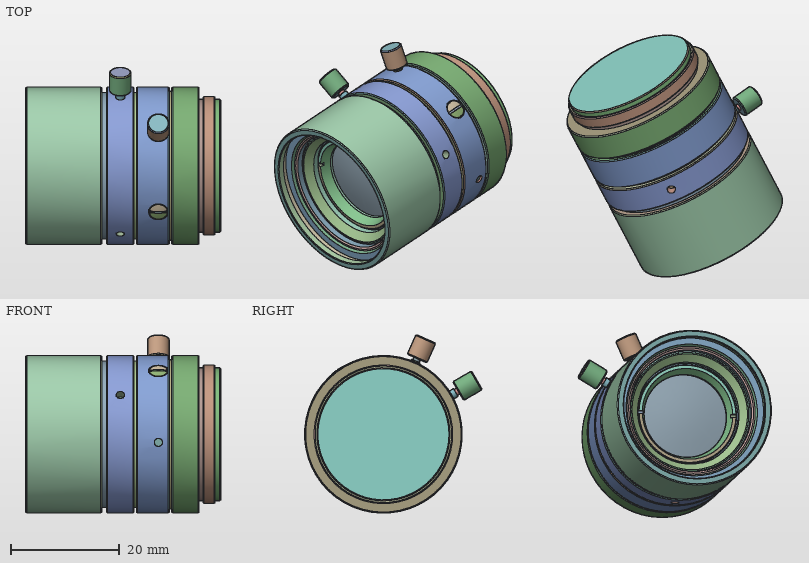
import cadquery as cq
import math


body_dia = 29.0
edge_chamfer = 0.2
barrel_end = 14.0
lock_ring_start = 14.85
lock_ring_end = 19.9
iris_ring_start = 20.35
iris_ring_end = 26.4
rear_ring_start = 26.85
rear_ring_end = 31.9
mount_thread_start = 32.6
mount_thread_end = 34.85
total_length = 35.88
front_core_dia = 27.0
rear_core_dia = 27.5
mount_thread_dia = 25.5
mount_core_dia = 24.5

mouth_dia = 26.8
mouth_chamfer = 0.15
filter_thread_dia = 26.5
filter_thread_end = 1.3
relief_dia = 27.5
relief_end = 2.5
step_mouth_dia = 24.7
step_dia = 24.1
step_end = 3.0
well_mouth_dia = 23.5
well_dia = 22.8
well_chamfer = 0.2
sleeve_dia = 22.5
sleeve_bore_dia = 21.7
sleeve_face = 4.2
cone_end = 5.5
cone_small_dia = 19.1
retainer_dia = 18.5
retainer_mouth_dia = 17.0
retainer_face = 6.2
retainer_chamfer = 0.15
gap_depth = 0.4
retainer_cone_end = 8.1
lens_dia = 15.5
lens_edge = 8.6
lens_bulge = 1.0
spanner_slot_width = 0.6
spanner_slot_depth = 0.7

lock_hardware_x = 17.4
iris_hardware_x = 24.4
lock_screw_angle = 30.0
lock_spacing = 120.0
iris_screw_angle = 66.0
iris_spacing = 60.0
lock_screw_reach = 19.87
iris_screw_reach = 19.23
knob_dia = 4.0
knob_length = 4.0
knob_chamfer = 0.2
neck_dia = 1.3
neck_length = 0.5
stem_dia = 1.7
stem_root = 12.5
pin_hole_dia = 1.5
lock_hole_depth = 2.0
iris_hole_depth = 0.4
slotted_head_dia = 3.3
slotted_head_crown = 14.6
slotted_head_bulge = 0.2
slotted_head_seat = 13.5
slotted_clearance_dia = 3.6
driver_slot_width = 0.4
driver_slot_depth = 0.4


def axial_cylinder(start, end, diameter):
    """Cylinder on the optical axis between two X positions."""
    return cq.Workplane("YZ", origin=(start, 0, 0)).circle(diameter / 2).extrude(end - start)


def chamfered_ring(start, end, diameter):
    """Axial cylinder with both end edges broken."""
    return axial_cylinder(start, end, diameter).faces("<X or >X").edges().chamfer(edge_chamfer)


def make_body():
    """Solid outer form: rings standing on smaller cores."""
    body = axial_cylinder(edge_chamfer, iris_ring_end, front_core_dia)
    body = body.union(axial_cylinder(iris_ring_start + edge_chamfer, rear_ring_end, rear_core_dia))
    body = body.union(chamfered_ring(rear_ring_start, total_length, mount_core_dia))
    for start, end, diameter in (
        (0, barrel_end, body_dia),
        (lock_ring_start, lock_ring_end, body_dia),
        (iris_ring_start, iris_ring_end, body_dia),
        (rear_ring_start, rear_ring_end, body_dia),
        (mount_thread_start, mount_thread_end, mount_thread_dia),
    ):
        body = body.union(chamfered_ring(start, end, diameter))
    return body


def make_bore():
    """Revolved cavity of the front opening, closed by the domed front lens."""
    sleeve_chamfer = (well_dia - sleeve_dia) / 2
    dome_radius = ((lens_dia / 2) ** 2 + lens_bulge ** 2) / (2 * lens_bulge)
    dome_mid_angle = math.asin(lens_dia / 2 / dome_radius) / 2
    dome_apex = lens_edge - lens_bulge
    dome_mid = (
        dome_apex + dome_radius * (1 - math.cos(dome_mid_angle)),
        dome_radius * math.sin(dome_mid_angle),
    )
    steps = (
        (0, mouth_dia),
        (mouth_chamfer, filter_thread_dia),
        (filter_thread_end, filter_thread_dia),
        (filter_thread_end, relief_dia),
        (relief_end, relief_dia),
        (relief_end, step_mouth_dia),
        (step_end, step_dia),
        (step_end, well_mouth_dia),
        (step_end + well_chamfer, well_dia),
        (sleeve_face + sleeve_chamfer, well_dia),
        (sleeve_face, sleeve_dia - 2 * sleeve_chamfer),
        (sleeve_face, sleeve_bore_dia),
        (cone_end, cone_small_dia),
        (retainer_face + gap_depth, cone_small_dia),
        (retainer_face + gap_depth, retainer_dia),
        (retainer_face + retainer_chamfer, retainer_dia),
        (retainer_face, retainer_dia - 2 * retainer_chamfer),
        (retainer_face, retainer_mouth_dia),
        (retainer_cone_end, lens_dia),
        (lens_edge, lens_dia),
    )
    outline = cq.Workplane("XY").moveTo(0, 0)
    for x, diameter in steps:
        outline = outline.lineTo(x, diameter / 2)
    outline = outline.threePointArc(dome_mid, (dome_apex, 0)).close()
    return outline.revolve(360, (0, 0, 0), (1, 0, 0))


def make_spanner_slots():
    """Pair of slots across the face of the lens retainer, on +Y and -Y."""
    across = cq.Workplane("XY").box(
        spanner_slot_depth, retainer_dia, spanner_slot_width, centered=(False, True, True)
    )
    return across.translate((retainer_face, 0, 0))


def radial_plane(x, angle, radius):
    """Workplane facing outwards at a given X, angle and distance from the axis."""
    outward = (0, math.cos(math.radians(angle)), math.sin(math.radians(angle)))
    origin = (x, radius * outward[1], radius * outward[2])
    return cq.Workplane(cq.Plane(origin=origin, xDir=(1, 0, 0), normal=outward))


def radial_cylinder(x, angle, inner, outer, diameter):
    """Cylinder pointing away from the axis between two radii."""
    return radial_plane(x, angle, inner).circle(diameter / 2).extrude(outer - inner)


def make_thumb_screw(x, angle, reach):
    """Knob on a narrow neck above a stem that enters the body."""
    knob_base = reach - knob_length
    stem_top = knob_base - neck_length
    knob = radial_cylinder(x, angle, knob_base, reach, knob_dia)
    knob = knob.edges("%CIRCLE").chamfer(knob_chamfer)
    neck = radial_cylinder(x, angle, stem_top, knob_base, neck_dia)
    stem = radial_cylinder(x, angle, stem_root, stem_top, stem_dia)
    return stem.union(neck).union(knob)


def make_pin_hole(x, angle, depth):
    """Blind radial hole, its depth measured from the outer surface."""
    surface = body_dia / 2
    return radial_cylinder(x, angle, surface - depth, surface + depth, pin_hole_dia)


def make_slotted_head(x, angle):
    """Slightly domed screw head with a driver slot along X."""
    head_radius = slotted_head_dia / 2
    dome_radius = (head_radius ** 2 + slotted_head_bulge ** 2) / (2 * slotted_head_bulge)
    dome = radial_plane(x, angle, slotted_head_crown - dome_radius).sphere(dome_radius)
    head = radial_cylinder(x, angle, slotted_head_seat, slotted_head_crown, slotted_head_dia)
    slot = radial_plane(x, angle, slotted_head_crown - driver_slot_depth)
    slot = slot.rect(slotted_head_dia, driver_slot_width).extrude(driver_slot_depth)
    return head.intersect(dome).cut(slot)


def add_slotted_screw(part, x, angle):
    """Sink a slotted screw head into a clearance counterbore."""
    counterbore = radial_cylinder(x, angle, slotted_head_seat, slotted_head_crown, slotted_clearance_dia)
    return part.cut(counterbore).union(make_slotted_head(x, angle))


result = make_body().cut(make_bore()).cut(make_spanner_slots())

for turn in (1, 2):
    hole_angle = lock_screw_angle + turn * lock_spacing
    result = result.cut(make_pin_hole(lock_hardware_x, hole_angle, lock_hole_depth))
result = result.union(make_thumb_screw(lock_hardware_x, lock_screw_angle, lock_screw_reach))

slotted_angle = iris_screw_angle + iris_spacing
iris_hole_angle = slotted_angle + iris_spacing
result = add_slotted_screw(result, iris_hardware_x, slotted_angle)
result = result.cut(make_pin_hole(iris_hardware_x, iris_hole_angle, iris_hole_depth))
result = result.union(make_thumb_screw(iris_hardware_x, iris_screw_angle, iris_screw_reach))